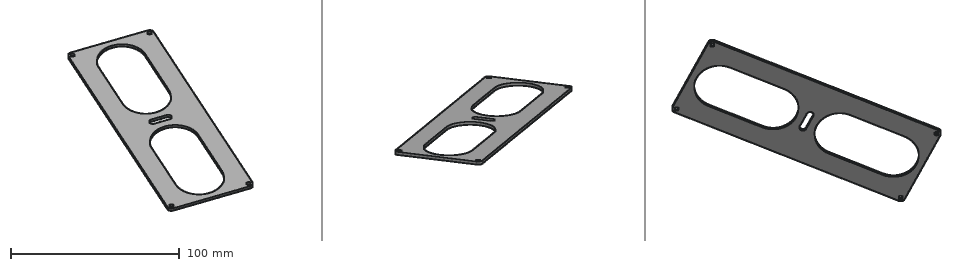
import cadquery as cq

length = 152.0
width = 55.0
thickness = 2.0
corner_radius = 2.6

hole_diameter = 2.6
hole_inset = 2.6

window_length = 65.0
window_width = 30.0
window_offset = 39.4

slot_length = 14.1
slot_width = 4.1

plate = (
    cq.Workplane("XY")
    .box(length, width, thickness)
    .edges("|Z")
    .fillet(corner_radius)
)

result = (
    plate.faces(">Z")
    .workplane(origin=(0, 0, 0))
    .rect(length - 2 * hole_inset, width - 2 * hole_inset, forConstruction=True)
    .vertices()
    .hole(hole_diameter)
    .faces(">Z")
    .workplane(origin=(0, 0, 0))
    .pushPoints([(-window_offset, 0), (window_offset, 0)])
    .slot2D(window_length, window_width)
    .cutThruAll()
    .faces(">Z")
    .workplane(origin=(0, 0, 0))
    .slot2D(slot_length, slot_width, angle=90)
    .cutThruAll()
)